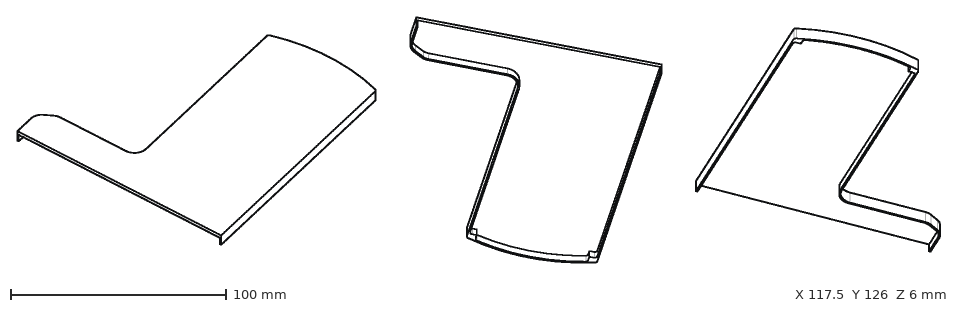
import cadquery as cq
import math

width = 117.5
length = 126.0
height = 6.0

plate_thickness = 2.0
wall = 0.81

arm_depth = 19.3
blade_left = 55.0
back_radius = 100.0
back_corner_radius = 1.3
inside_corner_radius = 6.8
arm_chamfer_run = 8.8
arm_chamfer_angle = 30.0
arm_round_radius = 6.2

block_width = 3.5
block_front = 118.5
pocket_corner_radius = 1.2

blade_center = (blade_left + width) / 2
blade_half_width = (width - blade_left) / 2
back_corner_y = length - back_radius + math.sqrt(back_radius**2 - blade_half_width**2)
arm_chamfer_drop = arm_chamfer_run * math.tan(math.radians(arm_chamfer_angle))
skirt_height = height - plate_thickness
front_overrun = 2.5


def round_upright_edges(body, points, radius):
    """Fillet the vertical edges that stand at the given XY points."""
    reach = 0.06
    for x, y in points:
        corner = cq.selectors.BoxSelector(
            (x - reach, y - reach, -height), (x + reach, y + reach, 2 * height)
        )
        body = body.edges("|Z").edges(corner).fillet(radius)
    return body


def outline_solid(front_y, thickness):
    """Extrude the rounded L-shaped outline, with its straight front edge at front_y."""
    chamfer_low = (0, arm_depth - arm_chamfer_drop)
    chamfer_high = (arm_chamfer_run, arm_depth)
    inside_corner = (blade_left, arm_depth)
    back_left = (blade_left, back_corner_y)
    back_right = (width, back_corner_y)
    body = (
        cq.Workplane("XY")
        .moveTo(0, front_y)
        .lineTo(*chamfer_low)
        .lineTo(*chamfer_high)
        .lineTo(*inside_corner)
        .lineTo(*back_left)
        .threePointArc((blade_center, length), back_right)
        .lineTo(width, front_y)
        .close()
        .extrude(thickness)
    )
    body = round_upright_edges(body, [chamfer_low, chamfer_high], arm_round_radius)
    body = round_upright_edges(body, [inside_corner], inside_corner_radius)
    return round_upright_edges(body, [back_left, back_right], back_corner_radius)


def pocket_solid():
    """Space under the plate, open at the front and stepped in at the back corners."""
    extended_outline = outline_solid(-front_overrun, skirt_height)
    pocket = (
        extended_outline.faces(">Z")
        .wires()
        .toPending()
        .offset2D(-wall)
        .extrude(-skirt_height, combine=False)
    )

    left_wall = blade_left + wall
    right_wall = width - wall
    left_step = left_wall + block_width
    right_step = right_wall - block_width
    block_length = length - block_front
    overlap = wall / 2
    for start in (left_wall - overlap, right_step):
        block = cq.Workplane("XY").box(
            block_width + overlap, block_length, skirt_height, centered=False
        )
        pocket = pocket.cut(block.translate((start, block_front, 0)))

    inner_radius = back_radius - wall
    step_offset = right_step - blade_center
    step_back_y = length - back_radius + math.sqrt(inner_radius**2 - step_offset**2)
    corners = [
        (left_wall, block_front),
        (right_wall, block_front),
        (left_step, step_back_y),
        (right_step, step_back_y),
    ]
    return round_upright_edges(pocket, corners, pocket_corner_radius)


result = outline_solid(0, height).cut(pocket_solid())